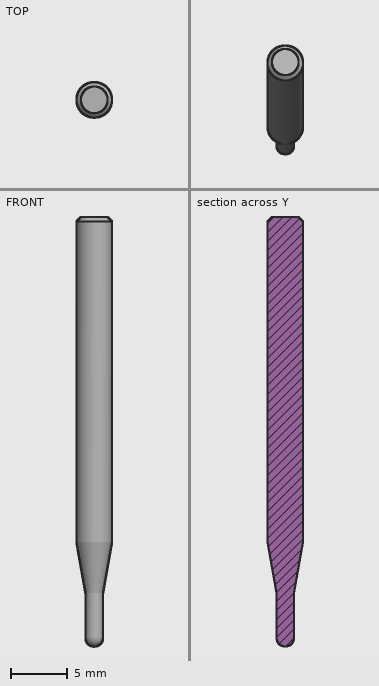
import cadquery as cq

shank_diameter = 3.175
overall_length = 38.1
tip_diameter = shank_diameter / 2
neck_top = 4.76
taper_top = 9.25
chamfer = 0.4

shank_radius = shank_diameter / 2
tip_radius = tip_diameter / 2


def ball_nose_cutter():
    """Revolve the half profile about Z, with the ball tip touching Z = 0."""
    half_profile = (
        cq.Workplane("XZ")
        .radiusArc((tip_radius, tip_radius), -tip_radius)
        .lineTo(tip_radius, neck_top)
        .lineTo(shank_radius, taper_top)
        .lineTo(shank_radius, overall_length - chamfer)
        .lineTo(shank_radius - chamfer, overall_length)
        .lineTo(0, overall_length)
        .close()
    )
    return half_profile.revolve(360, (0, 0, 0), (0, 1, 0))


result = ball_nose_cutter()